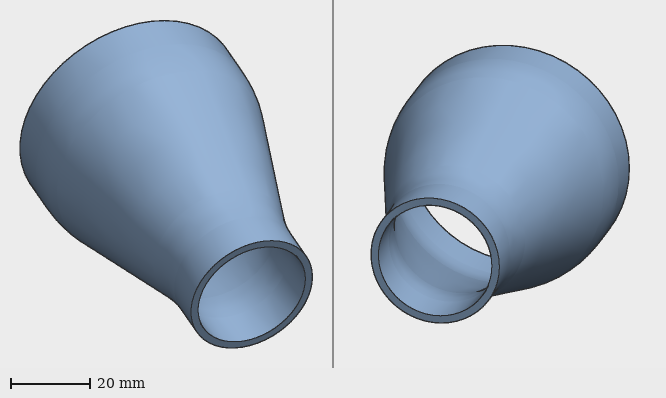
import cadquery as cq
import math

length = 76.0
large_radius = 60.3 / 2
small_radius = 33.7 / 2
wall = 2.0
end_length = 10.2
bend_radius = 34.8

run = length - 2 * end_length
drop = large_radius - small_radius
center_gap = 2 * bend_radius - drop
cone_angle = math.asin(2 * bend_radius / math.hypot(run, center_gap)) - math.atan2(center_gap, run)

large_bend_center = (end_length, large_radius - bend_radius)
small_bend_center = (length - end_length, small_radius + bend_radius)


def large_bend_point(angle, radius):
    """Point on the convex bend, with angle measured from its straight end."""
    x, r = large_bend_center
    return (x + radius * math.sin(angle), r + radius * math.cos(angle))


def small_bend_point(angle, radius):
    """Point on the concave bend, with angle measured from its straight end."""
    x, r = small_bend_center
    return (x - radius * math.sin(angle), r - radius * math.cos(angle))


def revolved_body(inset):
    """Solid bounded by the outer surface moved inward by inset."""
    large_bend = bend_radius - inset
    small_bend = bend_radius + inset
    profile = (
        cq.Workplane("XY")
        .moveTo(0, 0)
        .lineTo(0, large_radius - inset)
        .lineTo(*large_bend_point(0, large_bend))
        .threePointArc(
            large_bend_point(cone_angle / 2, large_bend),
            large_bend_point(cone_angle, large_bend),
        )
        .lineTo(*small_bend_point(cone_angle, small_bend))
        .threePointArc(
            small_bend_point(cone_angle / 2, small_bend),
            small_bend_point(0, small_bend),
        )
        .lineTo(length, small_radius - inset)
        .lineTo(length, 0)
        .close()
    )
    return profile.revolve(360, (0, 0, 0), (1, 0, 0))


result = revolved_body(0).cut(revolved_body(wall))